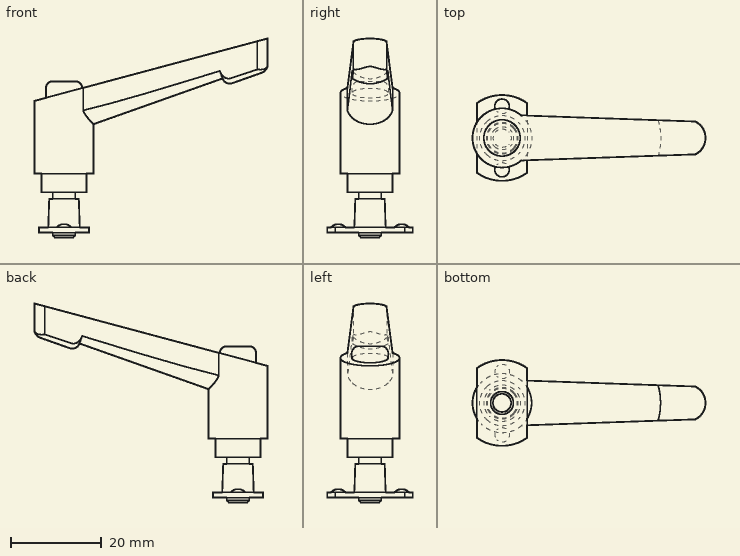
import cadquery as cq
import math

PIN_CHAMFER = 0.5
PLATE_BOTTOM = 1.1
PLATE_TOP = 2.25
CONE_TOP = 8.55
COLLAR_BOTTOM = 10.0
HUB_BOTTOM = 14.1
BUTTON_TOP = 34.5
TIP_TOP = 44.0

HUB_RADIUS = 6.55
COLLAR_RADIUS = 5.0
PIN_RADIUS = 2.5
CONE_TOP_RADIUS = 3.3
CONE_BOTTOM_RADIUS = 3.5
BUTTON_RADIUS = 4.0
BUTTON_FILLET = 1.5

PLATE_DIAMETER = 19.0
PLATE_RADIUS = PLATE_DIAMETER / 2
PLATE_WIDTH = 11.1
RIVET_OFFSET = 7.0
RIVET_RADIUS = 1.6
RIVET_HEIGHT = 0.7

OVERALL_LENGTH = 51.5
TIP_X = OVERALL_LENGTH - HUB_RADIUS
TOP_SLOPE = 15.0
ARM_ROOT_HALF_WIDTH = 5.15
ARM_END_HALF_WIDTH = 3.65
ARM_END_X = 42.65

UNDERSIDE_TILT = 19.5
UNDERSIDE_AXIS_Z = 28.25
UNDERSIDE_RADIUS = 5.25
GRIP_RADIUS = 6.95
GRIP_START = 35.3
GRIP_ROUND_END = 43.7
TIP_CLEARANCE = 0.1

TOP_AT_AXIS = TIP_TOP - TIP_X * math.tan(math.radians(TOP_SLOPE))


def cylinder(radius, bottom, top):
    return cq.Workplane("XY").workplane(offset=bottom).circle(radius).extrude(top - bottom)


def below_top_slope():
    """Block bounded above by the sloping top face of the hub and arm."""
    hub_edge_z = TOP_AT_AXIS - HUB_RADIUS * math.tan(math.radians(TOP_SLOPE))
    return (
        cq.Workplane("XZ")
        .moveTo(-HUB_RADIUS, 0)
        .lineTo(TIP_X, 0)
        .lineTo(TIP_X, TIP_TOP)
        .lineTo(-HUB_RADIUS, hub_edge_z)
        .close()
        .extrude(HUB_RADIUS, both=True)
    )


def arm_outline():
    """Tapered arm with a rounded tip, as a vertical prism."""
    return (
        cq.Workplane("XY")
        .moveTo(0, -ARM_ROOT_HALF_WIDTH)
        .lineTo(ARM_END_X, -ARM_END_HALF_WIDTH)
        .threePointArc((TIP_X, 0), (ARM_END_X, ARM_END_HALF_WIDTH))
        .lineTo(0, ARM_ROOT_HALF_WIDTH)
        .close()
        .extrude(TIP_TOP)
    )


def arm_underside():
    """Turned underside with the thicker grip, plus everything above its axis."""
    tilt = math.radians(UNDERSIDE_TILT)
    step = GRIP_RADIUS - UNDERSIDE_RADIUS
    mid = step * math.sqrt(0.5)
    tip_on_axis = (TIP_X + TIP_CLEARANCE) / math.cos(tilt)
    tip_at_underside = tip_on_axis - UNDERSIDE_RADIUS * math.tan(tilt)
    plane = cq.Plane(
        origin=(0, 0, UNDERSIDE_AXIS_Z),
        xDir=(math.cos(tilt), 0, math.sin(tilt)),
        normal=(0, -1, 0),
    )
    turned = (
        cq.Workplane(plane)
        .lineTo(0, -UNDERSIDE_RADIUS)
        .lineTo(GRIP_START, -UNDERSIDE_RADIUS)
        .threePointArc(
            (GRIP_START + step - mid, -UNDERSIDE_RADIUS - mid),
            (GRIP_START + step, -GRIP_RADIUS),
        )
        .lineTo(GRIP_ROUND_END, -GRIP_RADIUS)
        .tangentArcPoint((tip_at_underside, -UNDERSIDE_RADIUS), relative=False)
        .lineTo(tip_on_axis, 0)
        .close()
        .revolve(360, (0, 0, 0), (1, 0, 0))
    )
    upper = (
        cq.Workplane(plane)
        .rect(OVERALL_LENGTH, GRIP_RADIUS, centered=False)
        .extrude(HUB_RADIUS, both=True)
    )
    return turned.union(upper)


def foot_plate():
    disc = cylinder(PLATE_RADIUS, PLATE_BOTTOM, PLATE_TOP)
    return disc.intersect(cq.Workplane("XY").box(PLATE_WIDTH, 2 * PLATE_RADIUS, 2 * PLATE_TOP))


def rivet(y):
    """Spherical cap standing on the foot plate."""
    sphere_radius = (RIVET_RADIUS**2 + RIVET_HEIGHT**2) / (2 * RIVET_HEIGHT)
    return (
        cq.Workplane("XZ", origin=(0, y, 0))
        .moveTo(0, PLATE_BOTTOM)
        .lineTo(RIVET_RADIUS, PLATE_BOTTOM)
        .lineTo(RIVET_RADIUS, PLATE_TOP)
        .radiusArc((0, PLATE_TOP + RIVET_HEIGHT), -sphere_radius)
        .close()
        .revolve(360, (0, 0, 0), (0, 1, 0))
    )


def cone():
    return (
        cq.Workplane("XZ")
        .moveTo(0, PLATE_BOTTOM)
        .lineTo(CONE_BOTTOM_RADIUS, PLATE_BOTTOM)
        .lineTo(CONE_BOTTOM_RADIUS, PLATE_TOP)
        .lineTo(CONE_TOP_RADIUS, CONE_TOP)
        .lineTo(0, CONE_TOP)
        .close()
        .revolve(360, (0, 0, 0), (0, 1, 0))
    )


hub = cylinder(HUB_RADIUS, HUB_BOTTOM, TIP_TOP).intersect(below_top_slope())
arm = arm_outline().intersect(below_top_slope()).intersect(arm_underside())
button = cylinder(BUTTON_RADIUS, HUB_BOTTOM, BUTTON_TOP).faces(">Z").edges().fillet(BUTTON_FILLET)
collar = cylinder(COLLAR_RADIUS, COLLAR_BOTTOM, HUB_BOTTOM)
pin = cylinder(PIN_RADIUS, 0, HUB_BOTTOM).faces("<Z").edges().chamfer(PIN_CHAMFER)

result = hub.union(arm).union(button).union(collar).union(pin).union(cone()).union(foot_plate())
for side in (-1, 1):
    result = result.union(rivet(side * RIVET_OFFSET))